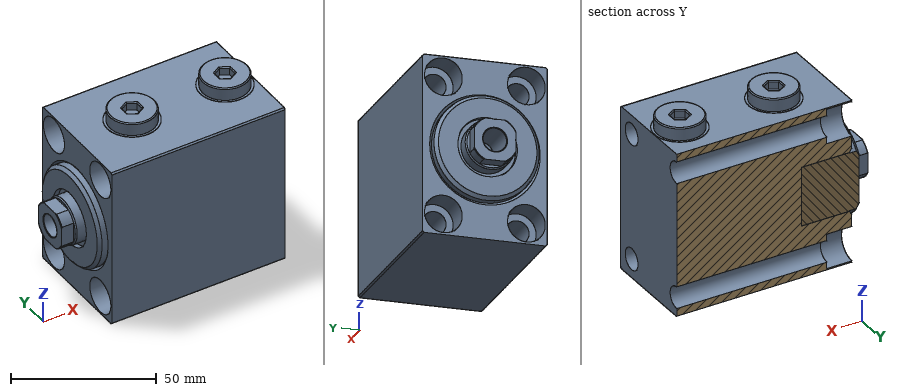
import cadquery as cq
import math


housing_length = 70.0
housing_width = 45.0
housing_height = 65.0
housing_edge_chamfer = 0.6
housing_top = housing_height / 2

bolt_spacing_y = 30.0
bolt_spacing_z = 50.0
bolt_hole_diameter = 8.5
counterbore_diameter = 13.6
counterbore_depth = 10.0

gland_diameter = 38.0
gland_protrusion = 3.0
gland_depth = 20.0
gland_chamfer = 1.2
bore_chamfer = 1.0
wiper_recess_diameter = 21.5
wiper_recess_depth = 2.0

rod_diameter = 18.0
rod_protrusion = 11.0
rod_chamfer = 0.5
nose_length = 4.95
nose_across_flats = 15.0
nose_tip_chamfer = 0.25
nose_diameter = rod_diameter - 2 * rod_chamfer
tapped_hole_diameter = 8.5
tapped_hole_depth = 15.0
tapped_hole_chamfer = 0.25
drill_point_angle = 118

plug_diameter = 18.0
plug_protrusion = 4.95
plug_depth = 10.0
plug_chamfer = 0.4
first_plug_x = 22.2
plug_pitch = 37.5
plug_positions_x = [first_plug_x, first_plug_x + plug_pitch]
spotface_diameter = 20.0
spotface_depth = 0.2
socket_across_flats = 6.0
socket_depth = 3.2
socket_chamfer = 0.4
socket_mouth_taper = 45


def x_cylinder(diameter, x_start, x_end):
    """Cylinder on the rod axis between two X positions."""
    return cq.Workplane("YZ", origin=(x_start, 0, 0)).circle(diameter / 2).extrude(x_end - x_start)


def z_cylinder(diameter, x, z_bottom, z_top):
    """Upright cylinder centred at the given X position."""
    return cq.Workplane("XY", origin=(x, 0, z_bottom)).circle(diameter / 2).extrude(z_top - z_bottom)


def make_housing():
    block = (
        cq.Workplane("XY")
        .box(housing_length, housing_width, housing_height, centered=(False, True, True))
        .edges("|X")
        .chamfer(housing_edge_chamfer)
    )

    block = block.cut(x_cylinder(gland_diameter, 0, gland_depth))
    block = block.faces("<X").edges(cq.selectors.RadiusNthSelector(0)).chamfer(bore_chamfer)

    corners = cq.Workplane("YZ").rect(bolt_spacing_y, bolt_spacing_z, forConstruction=True).vertices()
    block = block.cut(corners.circle(bolt_hole_diameter / 2).extrude(housing_length))
    block = block.cut(corners.circle(counterbore_diameter / 2).extrude(counterbore_depth))

    for x in plug_positions_x:
        block = block.cut(z_cylinder(plug_diameter, x, housing_top - plug_depth, housing_top))
        block = block.cut(z_cylinder(spotface_diameter, x, housing_top - spotface_depth, housing_top))
    return block


def make_gland():
    gland = x_cylinder(gland_diameter, -gland_protrusion, gland_depth).faces("<X").chamfer(gland_chamfer)
    gland = gland.cut(x_cylinder(rod_diameter, -gland_protrusion, gland_depth))
    recess_floor = wiper_recess_depth - gland_protrusion
    return gland.cut(x_cylinder(wiper_recess_diameter, -gland_protrusion, recess_floor))


def make_rod():
    tip = -rod_protrusion
    shoulder = tip + nose_length
    shaft = x_cylinder(rod_diameter, shoulder, gland_depth).faces("<X").chamfer(rod_chamfer)

    square = cq.Workplane("YZ", origin=(tip, 0, 0)).rect(nose_across_flats, nose_across_flats)
    turned_blank = x_cylinder(nose_diameter, tip, shoulder).faces("<X").chamfer(nose_tip_chamfer)
    nose = square.extrude(nose_length).intersect(turned_blank)

    hole_radius = tapped_hole_diameter / 2
    point_length = hole_radius / math.tan(math.radians(drill_point_angle / 2))
    hole = (
        cq.Workplane("XY")
        .moveTo(tip, 0)
        .lineTo(tip, hole_radius + tapped_hole_chamfer)
        .lineTo(tip + tapped_hole_chamfer, hole_radius)
        .lineTo(tip + tapped_hole_depth, hole_radius)
        .lineTo(tip + tapped_hole_depth + point_length, 0)
        .close()
        .revolve(360, (0, 0, 0), (1, 0, 0))
    )
    return shaft.union(nose).cut(hole)


def hexagon(z, x, across_flats):
    """Hexagon outline at height z with two corners on the Y direction."""
    across_corners = across_flats / math.cos(math.pi / 6)
    return (
        cq.Workplane("XY", origin=(x, 0, z))
        .transformed(rotate=(0, 0, 90))
        .polygon(6, across_corners)
    )


def make_plug(x):
    top = housing_top + plug_protrusion
    plug = z_cylinder(plug_diameter, x, housing_top - plug_depth, top).faces(">Z").chamfer(plug_chamfer)

    socket = hexagon(top - socket_depth, x, socket_across_flats).extrude(socket_depth)
    mouth_across_flats = socket_across_flats + 2 * socket_chamfer
    mouth = hexagon(top, x, mouth_across_flats).extrude(-socket_chamfer, taper=socket_mouth_taper)
    return plug.cut(socket).cut(mouth)


housing = make_housing()
gland = make_gland()
rod = make_rod()
plugs = [make_plug(x) for x in plug_positions_x]

result = cq.Compound.makeCompound(
    [housing.val(), gland.val(), rod.val(), *[plug.val() for plug in plugs]]
)